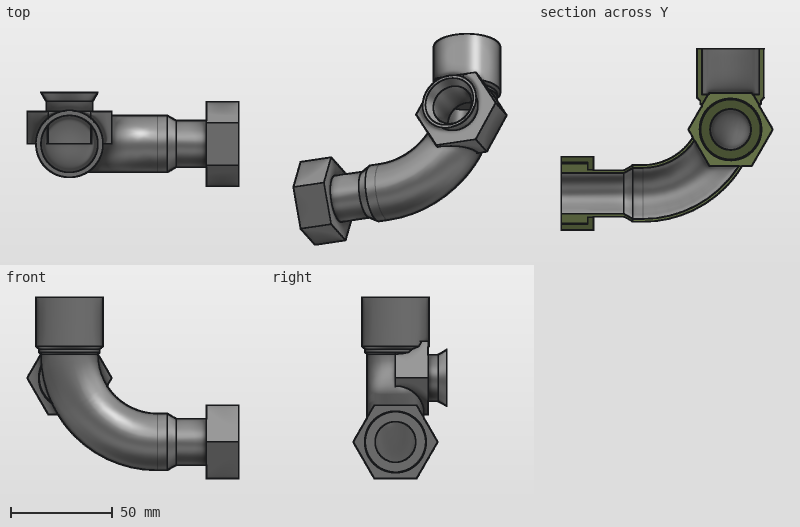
import cadquery as cq


nut_across_corners = 41.6
nut_thickness = 16.0
nut_back_wall = 3.1
nut_tube_hole = 23.2
nut_bore = 30.3

tail_diameter = 23.0
tail_bore = 20.0
tail_flange_diameter = 29.7
flare_length = 4.4
outlet_neck_length = 14.8
branch_neck_length = 4.9

pipe_diameter = 28.0
pipe_bore = 25.0
straight_length = 5.0

socket_diameter = 33.0
socket_bore = pipe_diameter
socket_neck_diameter = 30.0
socket_length = 28.1
socket_depth = 22.5
socket_top = 39.8
socket_chamfer_height = 1.4
socket_neck_chamfer_height = 0.9
socket_chamfer_start = 15.5

socket_bottom = socket_top - socket_length
outlet_face = 83.3
outlet_flare_end = outlet_face - nut_thickness - outlet_neck_length - flare_length
bend_radius = outlet_flare_end - straight_length
outlet_height = socket_bottom - bend_radius

outlet_plane = cq.Plane(origin=(outlet_face, 0, outlet_height), xDir=(0, 1, 0), normal=(-1, 0, 0))
branch_plane = cq.Plane(origin=(0, 0, 0), xDir=(1, 0, 0), normal=(0, 1, 0))


def make_hexagon(plane):
    """Solid hexagonal envelope of one nut."""
    return cq.Workplane(plane).polygon(6, nut_across_corners).extrude(nut_thickness)


def make_nut(plane):
    """Hexagon nut, bored from its open face and pierced for the tail."""
    bore_depth = nut_thickness - nut_back_wall
    bore = cq.Workplane(plane).circle(nut_bore / 2).extrude(bore_depth)
    tube_hole = cq.Workplane(plane).circle(nut_tube_hole / 2).extrude(nut_thickness)
    return make_hexagon(plane).cut(bore).cut(tube_hole)


def make_tail(plane, neck_length):
    """Tube with a flange flush with the nut face and a flared far end."""
    flange_end = nut_thickness - nut_back_wall
    flare_start = nut_thickness + neck_length
    flare_end = flare_start + flare_length
    profile = [
        (tail_bore / 2, 0),
        (tail_flange_diameter / 2, 0),
        (tail_flange_diameter / 2, flange_end),
        (tail_diameter / 2, flange_end),
        (tail_diameter / 2, flare_start),
        (pipe_diameter / 2, flare_end),
        (pipe_bore / 2, flare_end),
        (tail_bore / 2, flare_start),
    ]
    tail = cq.Workplane("XZ").polyline(profile).close().revolve(360, (0, 0), (0, 1))
    return tail.val().moved(cq.Location(plane))


def make_pipe(diameter):
    """Solid quarter bend of the given diameter plus its straight outlet end."""
    bend = (
        cq.Workplane("XY", origin=(0, 0, socket_bottom))
        .circle(diameter / 2)
        .revolve(90, (bend_radius, 0), (bend_radius, -1))
    )
    straight = (
        cq.Workplane("YZ", origin=(bend_radius, 0, outlet_height))
        .circle(diameter / 2)
        .extrude(straight_length)
    )
    return bend.union(straight)


def make_elbow():
    """Hollow elbow, recessed where the branch nut sits in its side."""
    return make_pipe(pipe_diameter).cut(make_pipe(pipe_bore)).cut(make_hexagon(branch_plane))


def make_socket():
    """Blind socket with a stepped neck, recessed for the top of the branch nut."""
    neck_start = socket_chamfer_start - socket_chamfer_height
    floor = socket_top - socket_depth
    profile = [
        (0, socket_bottom),
        (pipe_diameter / 2, socket_bottom),
        (socket_neck_diameter / 2, socket_bottom + socket_neck_chamfer_height),
        (socket_neck_diameter / 2, neck_start),
        (socket_diameter / 2, socket_chamfer_start),
        (socket_diameter / 2, socket_top),
        (socket_bore / 2, socket_top),
        (socket_bore / 2, floor),
        (0, floor),
    ]
    body = cq.Workplane("XZ").polyline(profile).close().revolve(360, (0, 0), (0, 1))
    return body.cut(make_hexagon(branch_plane))


elbow = make_elbow()
socket = make_socket()
nuts = []
tails = []
for plane, neck_length in [(outlet_plane, outlet_neck_length), (branch_plane, branch_neck_length)]:
    nuts.append(make_nut(plane).val())
    tails.append(make_tail(plane, neck_length))

result = cq.Compound.makeCompound([elbow.val(), socket.val(), *nuts, *tails])